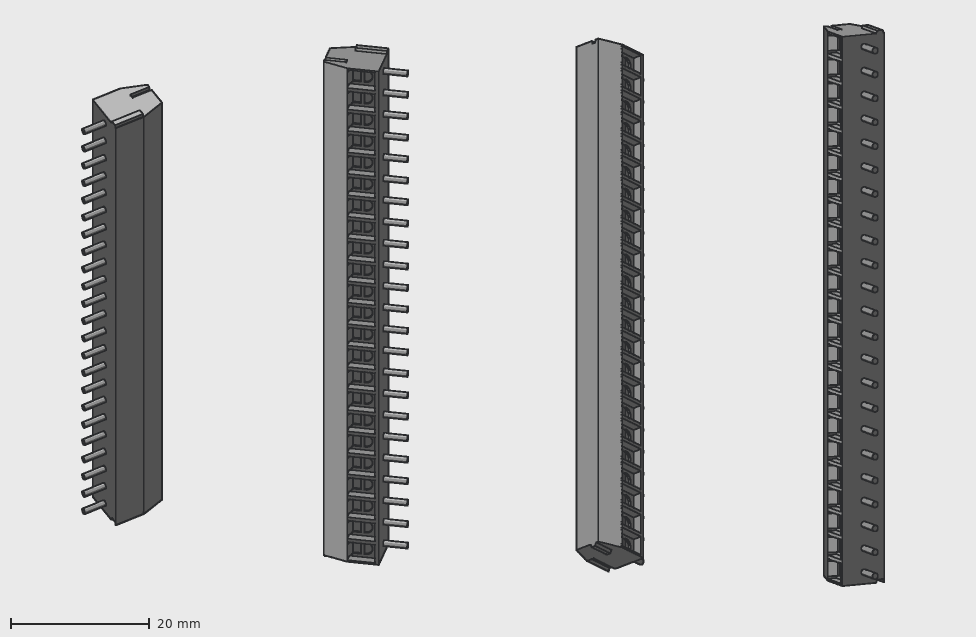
import cadquery as cq

pole_count = 23
pitch = 3.5
body_height = pole_count * pitch

body_width = 6.8
body_depth = 8.4
taper_inset = 1.26
taper_length = 3.75
shoulder_y = body_depth - taper_length
entry_x = -body_width / 2
plain_x = body_width / 2

pin_diameter = 0.9
pin_length = 3.5
pin_x = 0.12

pocket_depth = 1.4
pocket_height = 2.9
pocket_front_y = 0.6
pocket_floor_x = entry_x + pocket_depth

ramp_foot = 0.5
ramp_height = 2.2

opening_depth = 0.3
wire_hole_radius = 1.0
wire_hole_y = 2.2
bar_width = 0.5
bar_front_y = 2.45
bar_back_y = bar_front_y + bar_width
opening_back_y = shoulder_y - ramp_foot

tongue_height = 0.4
tongue_base = 1.2
tongue_tip = 0.9
tongue_edge_gap = 0.1
tongue_x = plain_x - tongue_edge_gap - tongue_base / 2
groove_depth = 0.5

rib_height = 0.5
rib_base = 1.1
rib_tip = 0.65
rib_length = 3.3
rib_x = -1.1
slot_x = -1.2
slot_base = 0.7
slot_tip = 0.5
slot_length = 3.2


def bevelled_bar(center_x, base, tip, z_base, z_tip, y_start, y_end):
    """Bar along Y with a trapezoid section that narrows from z_base to z_tip."""
    return (
        cq.Workplane("XZ", origin=(center_x, y_end, 0))
        .moveTo(-base / 2, z_base)
        .lineTo(base / 2, z_base)
        .lineTo(tip / 2, z_tip)
        .lineTo(-tip / 2, z_tip)
        .close()
        .extrude(y_end - y_start)
    )


def box_between(x_range, y_range, z_range):
    """Box given by its lower and upper limits on each axis."""
    lows, highs = zip(x_range, y_range, z_range)
    sizes = [high - low for low, high in zip(lows, highs)]
    return cq.Workplane("XY").box(*sizes, centered=False).translate(lows)


def make_body():
    back_x = plain_x - taper_inset
    return (
        cq.Workplane("XY")
        .moveTo(entry_x, 0)
        .lineTo(plain_x, 0)
        .lineTo(plain_x, shoulder_y)
        .lineTo(back_x, body_depth)
        .lineTo(-back_x, body_depth)
        .lineTo(entry_x, shoulder_y)
        .close()
        .extrude(body_height)
    )


def make_wire_entry():
    """Pocket with two floor openings and a ramp left at its back wall, centred on Z = 0."""
    pocket = box_between(
        (entry_x, pocket_floor_x),
        (pocket_front_y, shoulder_y),
        (-pocket_height / 2, pocket_height / 2),
    )
    ramp = (
        cq.Workplane("XY", origin=(0, 0, -ramp_height / 2))
        .moveTo(entry_x, shoulder_y)
        .lineTo(pocket_floor_x, shoulder_y)
        .lineTo(pocket_floor_x, opening_back_y)
        .close()
        .extrude(ramp_height)
    )
    opening_x = (pocket_floor_x, pocket_floor_x + opening_depth)
    opening_z = (-wire_hole_radius, wire_hole_radius)
    hole_front_y = wire_hole_y - wire_hole_radius
    wire_hole = (
        cq.Workplane("YZ", origin=(pocket_floor_x, 0, 0))
        .center(wire_hole_y, 0)
        .circle(wire_hole_radius)
        .extrude(opening_depth)
        .intersect(box_between(opening_x, (hole_front_y, bar_front_y), opening_z))
    )
    clamp_opening = box_between(opening_x, (bar_back_y, opening_back_y), opening_z)
    return pocket.cut(ramp).union(wire_hole).union(clamp_opening)


def make_pin():
    return cq.Workplane("XZ", origin=(pin_x, 0, 0)).circle(pin_diameter / 2).extrude(pin_length)


def add_couplings(block):
    top = body_height
    rib_start = body_depth - rib_length
    slot_start = body_depth - slot_length
    tongue = bevelled_bar(tongue_x, tongue_base, tongue_tip, top, top + tongue_height, 0, shoulder_y)
    slot = bevelled_bar(slot_x, slot_base, slot_tip, top, top - rib_height, slot_start, body_depth)
    groove = bevelled_bar(tongue_x, tongue_base, tongue_tip, 0, groove_depth, 0, shoulder_y)
    rib = bevelled_bar(rib_x, rib_base, rib_tip, 0, -rib_height, rib_start, body_depth)
    return block.cut(slot).cut(groove).union(tongue).union(rib)


result = make_body()
wire_entry = make_wire_entry()
pin = make_pin()
for pole in range(pole_count):
    pole_center = (0, 0, (pole + 0.5) * pitch)
    result = result.cut(wire_entry.translate(pole_center))
    result = result.union(pin.translate(pole_center))
result = add_couplings(result)